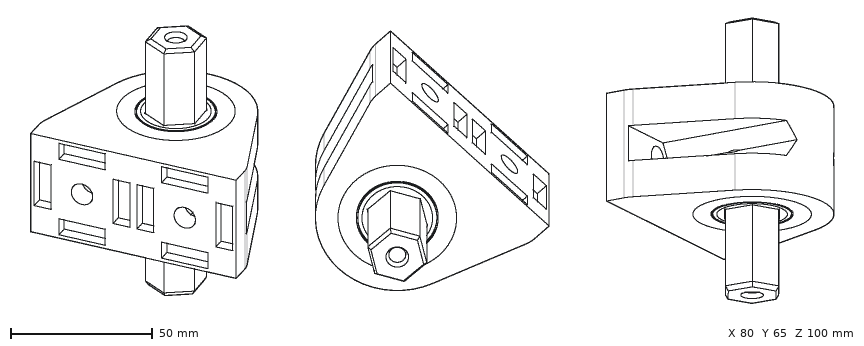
import cadquery as cq
import math


housing_width = 80.0
housing_height = 40.0
nose_radius = 29.0
base_distance = 36.0
corner_y = -27.0
corner_radius = 10.0

bolt_x = 20.0
bolt_hole_diameter = 8.3
nut_across_flats = 13.0
nut_seat_y = -27.0

pocket_length = 18.0
pocket_width = 6.5
pocket_depth = 4.5
pocket_offset = 15.35

bearing_outer_diameter = 42.0
bearing_bore = 25.0
bearing_width = 9.0
housing_bore = 25.4
ring_groove_inner_diameter = 28.0
ring_groove_outer_diameter = 29.0
ring_groove_depth = 0.5

shaft_length = 100.0
shaft_across_flats = 18.9
sleeve_across_flats = 19.3
hexagon_turn = 1.6
shaft_bore_diameter = 6.0
chamfer_short = 1.0
chamfer_angle = 30.0
chamfer_long = chamfer_short / math.tan(math.radians(chamfer_angle))

half_width = housing_width / 2
half_height = housing_height / 2
half_shaft = shaft_length / 2


def hexagon_diameter(across_flats):
    """Corner-to-corner size of a regular hexagon."""
    return across_flats / math.cos(math.radians(30))


def cylinder(diameter, bottom, height):
    return cq.Workplane("XY").workplane(offset=bottom).circle(diameter / 2).extrude(height)


def hexagon(z, across_flats):
    """A workplane at height z holding a hexagon with two corners close to the Y axis."""
    plane = cq.Workplane("XY").workplane(offset=z).transformed(rotate=(0, 0, 90 + hexagon_turn))
    return plane.polygon(6, hexagon_diameter(across_flats))


def shaft_hexagon(z):
    return hexagon(z, shaft_across_flats)


def housing_block():
    """Rounded nose joined by tangent sloped sides to a straight base."""
    corner_distance = math.hypot(half_width, corner_y)
    corner_angle = math.atan2(corner_y, half_width)
    tangent_angle = corner_angle + math.acos(nose_radius / corner_distance)
    tangent_x = nose_radius * math.cos(tangent_angle)
    tangent_y = nose_radius * math.sin(tangent_angle)
    block = (
        cq.Workplane("XY")
        .workplane(offset=-half_height)
        .moveTo(-half_width, -base_distance)
        .lineTo(half_width, -base_distance)
        .lineTo(half_width, corner_y)
        .lineTo(tangent_x, tangent_y)
        .threePointArc((0, nose_radius), (-tangent_x, tangent_y))
        .lineTo(-half_width, corner_y)
        .close()
        .extrude(housing_height)
    )
    margin = 1.0
    corners = cq.selectors.BoxSelector(
        (-half_width - margin, corner_y - margin, -half_height - margin),
        (half_width + margin, corner_y + margin, half_height + margin),
    )
    return block.edges("|Z").edges(corners).fillet(corner_radius)


def nut_channel(side):
    """Channel along Y, open to the side, whose inner wall is half of a nut's hexagon."""
    corner_reach = hexagon_diameter(nut_across_flats) / 2
    half_flats = nut_across_flats / 2
    edge_x = bolt_x - corner_reach / 2
    profile = [
        (side * (bolt_x - corner_reach), 0),
        (side * edge_x, half_flats),
        (side * half_width, half_flats),
        (side * half_width, -half_flats),
        (side * edge_x, -half_flats),
    ]
    channel_length = nose_radius - nut_seat_y
    return (
        cq.Workplane("XZ", origin=(0, nut_seat_y, 0))
        .polyline(profile)
        .close()
        .extrude(-channel_length)
    )


def bolt_hole(side):
    return (
        cq.Workplane("XZ", origin=(0, -base_distance, 0))
        .center(side * bolt_x, 0)
        .circle(bolt_hole_diameter / 2)
        .extrude(-(base_distance + nose_radius))
    )


def pockets(side):
    """Four rectangular pockets framing one bolt hole."""
    face = cq.Workplane("XZ", origin=(side * bolt_x, -base_distance, 0))
    level = (
        face.pushPoints([(0, pocket_offset), (0, -pocket_offset)])
        .rect(pocket_length, pocket_width)
        .extrude(-pocket_depth)
    )
    upright = (
        face.pushPoints([(pocket_offset, 0), (-pocket_offset, 0)])
        .rect(pocket_width, pocket_length)
        .extrude(-pocket_depth)
    )
    return level.add(upright)


def make_housing():
    body = housing_block()
    for side in (-1, 1):
        body = body.cut(nut_channel(side)).cut(bolt_hole(side))
        for pocket in pockets(side).vals():
            body = body.cut(cq.Workplane(pocket))
    body = body.cut(cylinder(housing_bore, -half_height, housing_height))
    body = body.cut(cylinder(bearing_outer_diameter, -half_height, bearing_width))
    return body.cut(cylinder(bearing_outer_diameter, half_height - bearing_width, bearing_width))


def make_bearing(end):
    """Plain ring with a narrow groove in its outward face; end is 1 for the top, -1 for the bottom."""
    ring = cylinder(bearing_outer_diameter, half_height - bearing_width, bearing_width)
    ring = ring.cut(cylinder(bearing_bore, half_height - bearing_width, bearing_width))
    groove_bottom = half_height - ring_groove_depth
    groove = cylinder(ring_groove_outer_diameter, groove_bottom, ring_groove_depth)
    groove = groove.cut(cylinder(ring_groove_inner_diameter, groove_bottom, ring_groove_depth))
    ring = ring.cut(groove)
    if end < 0:
        ring = ring.mirror("XY")
    return ring


def make_sleeve():
    """Round outside, filling the bearings' bores, with a hexagonal hole for the shaft."""
    outside = cylinder(bearing_bore, -half_height, housing_height)
    return outside.cut(hexagon(-half_height, sleeve_across_flats).extrude(housing_height))


def make_shaft():
    """Hexagonal bar with a flat chamfer on its top end, a steep one on its bottom end, and a bore."""
    top_edge = half_shaft - chamfer_short
    bottom_edge = -half_shaft + chamfer_long
    bar = shaft_hexagon(bottom_edge).extrude(top_edge - bottom_edge)
    bar = bar.union(shaft_hexagon(top_edge).extrude(chamfer_short, taper=90 - chamfer_angle))
    bar = bar.union(shaft_hexagon(bottom_edge).extrude(-chamfer_long, taper=chamfer_angle))
    bar = bar.cut(cylinder(shaft_bore_diameter, -half_shaft, shaft_length))
    mouth_radius = shaft_bore_diameter / 2 + chamfer_short
    for end in (-1, 1):
        mouth = (
            cq.Workplane("XY")
            .workplane(offset=end * half_shaft)
            .circle(mouth_radius)
            .extrude(-end * chamfer_long, taper=chamfer_angle)
        )
        bar = bar.cut(mouth)
    return bar


housing = make_housing()
bearings = [make_bearing(end) for end in (1, -1)]
sleeve = make_sleeve()
shaft = make_shaft()

result = cq.Compound.makeCompound(
    [housing.val(), *[bearing.val() for bearing in bearings], sleeve.val(), shaft.val()]
)